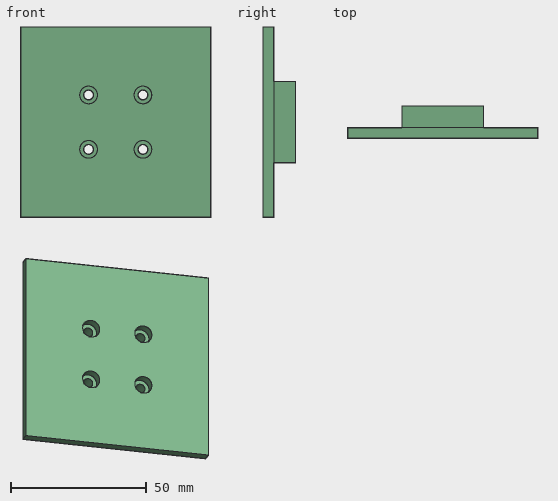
import cadquery as cq

plate_side = 70.0
plate_thickness = 4.0

boss_side = 30.0
boss_height = 8.0

hole_spacing = 20.0
hole_diameter = 3.5
counterbore_diameter = 6.5
counterbore_depth = 4.0

total_depth = plate_thickness + boss_height


def square_block(side, depth, front_y):
    """Square block centred on the Y axis, reaching from front_y towards +Y."""
    return cq.Workplane("XZ", origin=(0, front_y, 0)).rect(side, side).extrude(-depth)


def hole_pattern(diameter, depth):
    """Cylinders on the hole pattern, reaching from the front face towards +Y."""
    return (
        cq.Workplane("XZ")
        .rect(hole_spacing, hole_spacing, forConstruction=True)
        .vertices()
        .circle(diameter / 2)
        .extrude(-depth)
    )


plate = square_block(plate_side, plate_thickness, 0)
boss = square_block(boss_side, boss_height, plate_thickness)

result = (
    plate.union(boss)
    .cut(hole_pattern(hole_diameter, total_depth))
    .cut(hole_pattern(counterbore_diameter, counterbore_depth))
)